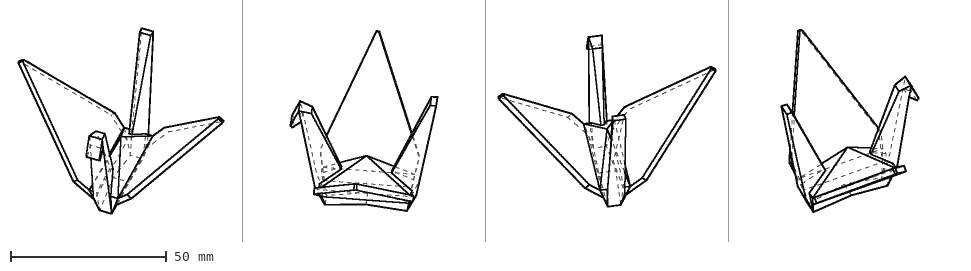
import cadquery as cq
import math


BELLY_HALF_WIDTH = 2.1
BELLY_HALF_LENGTH = 13.25
EAVE_HALF_WIDTH = 4.95
EAVE_HALF_LENGTH = 14.95
EAVE_Z = 10.0
APEX_Z = 22.2
NOTCH_Z = 2.3

WING_ANGLE = 50.0
WING_THICKNESS = 2.0
WING_ROOT = -4.6
WING_SHOULDER = 5.6
WING_SPAN = 70.9
SHOULDER_HALF_WIDTH = 16.0
TIP_HALF_WIDTH = 0.4

BASE_OUTER = (2.9, 16.45, 8.7)
BASE_INNER = (0.5, 7.9, 14.8)
BELLY_EDGE = (BELLY_HALF_WIDTH, BELLY_HALF_LENGTH, 0)
NECK_TOP_OUTER = (2.2, 21.7, 43.05)
NECK_TOP_INNER = (1.55, 17.65, 41.55)
TAIL_TOP_OUTER = (2.05, 22.8, 50.0)
TAIL_TOP_INNER = (1.9, 20.8, 50.0)

HEAD_HALF_WIDTH = 2.3
THROAT_Z = 38.0
BEAK_TOP = (-24.4, 35.9)
BEAK_BOTTOM = (-23.75, 35.1)


def polyhedron(faces):
    """Solid bounded by flat faces, each given as a loop of points."""
    flat_faces = []
    for loop in faces:
        wire = cq.Wire.makePolygon([cq.Vector(*p) for p in loop], close=True)
        flat_faces.append(cq.Face.makeFromWires(wire))
    return cq.Workplane(obj=cq.Solid.makeSolid(cq.Shell.makeShell(flat_faces)))


def rectangle_corners(half_width, half_length, z):
    return [
        (-half_width, -half_length, z),
        (half_width, -half_length, z),
        (half_width, half_length, z),
        (-half_width, half_length, z),
    ]


def make_body():
    belly = rectangle_corners(BELLY_HALF_WIDTH, BELLY_HALF_LENGTH, 0)
    eaves = rectangle_corners(EAVE_HALF_WIDTH, EAVE_HALF_LENGTH, EAVE_Z)
    apex = (0, 0, APEX_Z)
    faces = [belly]
    for i in range(4):
        j = (i + 1) % 4
        faces.append([belly[i], belly[j], eaves[j], eaves[i]])
        faces.append([eaves[i], eaves[j], apex])
    notch = (
        cq.Workplane("YZ")
        .polyline([(-BELLY_HALF_LENGTH, 0), (BELLY_HALF_LENGTH, 0), (0, NOTCH_Z)])
        .close()
        .extrude(EAVE_HALF_WIDTH, both=True)
    )
    return polyhedron(faces).cut(notch)


def make_wing():
    """Right-hand wing, its upper surface starting at the eave."""
    slope = math.radians(WING_ANGLE)
    upper_surface = cq.Plane(
        origin=(EAVE_HALF_WIDTH, 0, EAVE_Z),
        xDir=(math.cos(slope), 0, math.sin(slope)),
        normal=(-math.sin(slope), 0, math.cos(slope)),
    )
    flare = (SHOULDER_HALF_WIDTH - EAVE_HALF_LENGTH) / WING_SHOULDER
    root_half_width = EAVE_HALF_LENGTH + flare * WING_ROOT
    overhang = WING_THICKNESS * math.sin(slope)
    tip = (WING_SPAN / 2 - EAVE_HALF_WIDTH - overhang) / math.cos(slope)
    half_outline = [
        (WING_ROOT, root_half_width),
        (WING_SHOULDER, SHOULDER_HALF_WIDTH),
        (tip, TIP_HALF_WIDTH),
    ]
    mirrored_half = [(along, -across) for along, across in reversed(half_outline)]
    return (
        cq.Workplane(upper_surface)
        .polyline(half_outline + mirrored_half)
        .close()
        .extrude(-WING_THICKNESS)
    )


def edge_ends(edge, side):
    """Both end points of a crosswise edge; side is +1 for the tail, -1 for the neck."""
    half_width, distance, z = edge
    return [(-half_width, side * distance, z), (half_width, side * distance, z)]


def make_limb(top_outer, top_inner, side):
    """Neck or tail: a ruled loft upwards, and a wedge down to the belly edge."""
    outer_left, outer_right = edge_ends(BASE_OUTER, side)
    inner_left, inner_right = edge_ends(BASE_INNER, side)
    belly_left, belly_right = edge_ends(BELLY_EDGE, side)
    top_outer_left, top_outer_right = edge_ends(top_outer, side)
    top_inner_left, top_inner_right = edge_ends(top_inner, side)

    base = [outer_left, outer_right, inner_right, inner_left]
    top = [top_outer_left, top_outer_right, top_inner_right, top_inner_left]
    sections = [
        cq.Wire.makePolygon([cq.Vector(*p) for p in loop], close=True)
        for loop in (base, top)
    ]
    upper = cq.Workplane(obj=cq.Solid.makeLoft(sections, True))
    lower = polyhedron([
        base,
        [outer_left, outer_right, belly_right, belly_left],
        [inner_left, inner_right, belly_right, belly_left],
        [outer_left, inner_left, belly_left],
        [outer_right, inner_right, belly_right],
    ])
    return upper.union(lower)


def make_head():
    _, base_y, base_z = BASE_OUTER
    _, crown_y, crown_z = NECK_TOP_OUTER
    throat_y = base_y + (crown_y - base_y) * (THROAT_Z - base_z) / (crown_z - base_z)
    profile = [(-crown_y, crown_z), BEAK_TOP, BEAK_BOTTOM, (-throat_y, THROAT_Z)]
    return (
        cq.Workplane("YZ")
        .polyline(profile)
        .close()
        .extrude(HEAD_HALF_WIDTH, both=True)
    )


wing = make_wing()
neck = make_limb(NECK_TOP_OUTER, NECK_TOP_INNER, -1)
tail = make_limb(TAIL_TOP_OUTER, TAIL_TOP_INNER, 1)

result = make_body().union(neck).union(tail).union(make_head())
result = result.union(wing).union(wing.mirror("YZ"))